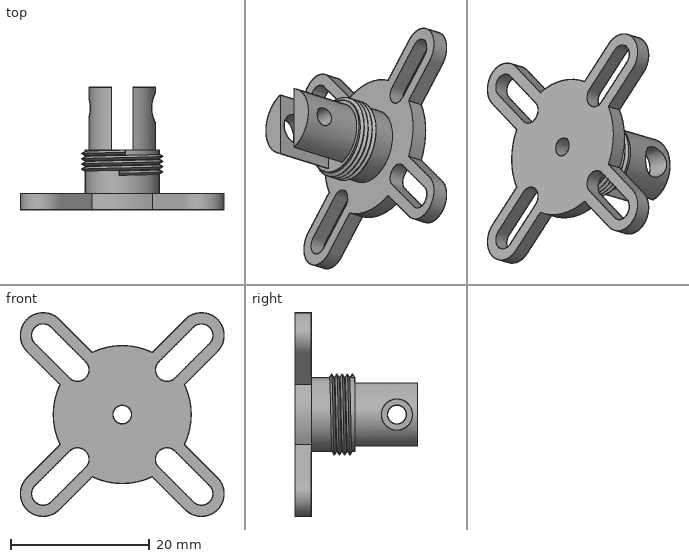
import cadquery as cq
import math

plate_thickness = 2.4
disc_radius = 10.0
overall_width = 29.51
arm_radius = 3.3
slot_radius = 1.65
slot_travel = 7.05
arm_angles = (45, 135, 225, 315)
arm_reach = (overall_width / 2 - arm_radius) * math.sqrt(2)

neck_radius = 5.37
neck_top = 8.7
post_radius = 4.83
post_top = 17.77
post_gap = 3.1

bore_diameter = 2.65
pin_hole_diameter = 2.7
access_hole_diameter = 4.5
pin_hole_from_end = 3.0

thread_pitch = 0.75
thread_overrun_angle = 4.6
thread_turns = 4 + 2 * thread_overrun_angle / 360
thread_height = 0.5
thread_base = 0.64
thread_root_depth = 0.06
thread_end = 8.34
thread_start = thread_end - thread_pitch * thread_turns


def cylinder_along_y(radius, start, end):
    """Solid cylinder on the Y axis from Y = start to Y = end."""
    return cq.Workplane("XZ", origin=(0, start, 0)).circle(radius).extrude(start - end)


def rounded_bar(inner, outer, radius, angle):
    """Round-ended bar through the plate, between two distances along a diagonal."""
    length = outer - inner + 2 * radius
    bar = (
        cq.Workplane("XZ")
        .center((inner + outer) / 2, 0)
        .slot2D(length, 2 * radius)
        .extrude(-plate_thickness)
    )
    return bar.rotate((0, 0, 0), (0, 1, 0), angle)


def make_plate():
    plate = cylinder_along_y(disc_radius, 0, plate_thickness)
    for angle in arm_angles:
        plate = plate.union(rounded_bar(0, arm_reach, arm_radius, angle))
    for angle in arm_angles:
        plate = plate.cut(rounded_bar(arm_reach - slot_travel, arm_reach, slot_radius, angle))
    return plate


def make_split_post():
    """Post above the neck, parted by a gap and pierced across by the pin holes."""
    post = cylinder_along_y(post_radius, neck_top, post_top)
    gap_length = post_top - neck_top
    gap = cq.Workplane("XY").box(post_gap, gap_length, 2 * post_radius)
    post = post.cut(gap.translate((0, neck_top + gap_length / 2, 0)))

    hole_plane = cq.Workplane("YZ").center(post_top - pin_hole_from_end, 0)
    pin_hole = hole_plane.circle(pin_hole_diameter / 2).extrude(-post_radius)
    access_hole = hole_plane.circle(access_hole_diameter / 2).extrude(post_radius)
    return post.cut(pin_hole).cut(access_hole)


def make_thread():
    """Triangular ridge swept along a helix, its root sunk slightly into the neck."""
    root_radius = neck_radius - thread_root_depth
    half_root = thread_base / 2 * (1 + thread_root_depth / thread_height)
    helix = cq.Wire.makeHelix(thread_pitch, thread_pitch * thread_turns, root_radius)
    ridge = (
        cq.Workplane("XZ")
        .moveTo(root_radius, -half_root)
        .lineTo(neck_radius + thread_height, 0)
        .lineTo(root_radius, half_root)
        .close()
        .sweep(cq.Workplane(helix), isFrenet=True)
    )
    ridge = ridge.rotate((0, 0, 0), (1, 0, 0), -90)
    ridge = ridge.rotate((0, 0, 0), (0, 1, 0), -90 - thread_overrun_angle)
    return ridge.translate((0, thread_start, 0))


neck = cylinder_along_y(neck_radius, 0, neck_top)
bore = cylinder_along_y(bore_diameter / 2, 0, neck_top)

result = make_plate().union(neck).union(make_split_post()).union(make_thread()).cut(bore)